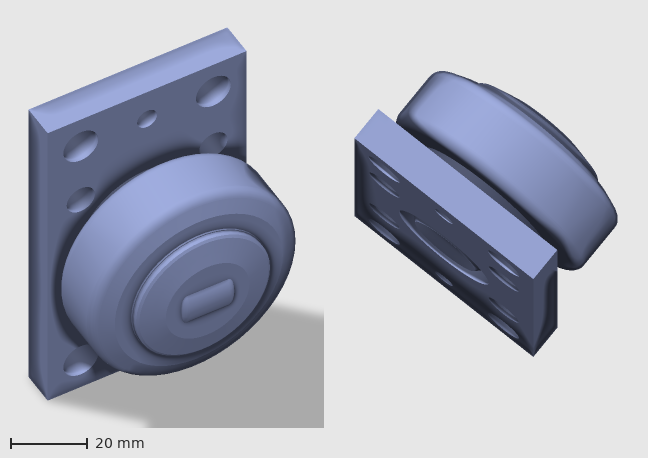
import cadquery as cq
import math

plate_thickness = 10.0
plate_width = 60.0
plate_height = 100.0

hole_offset_y = 20.0
outer_hole_z = 40.0
inner_hole_z = 20.0
bolt_hole_diameter = 10.5
pin_hole_diameter = 6.0
tapped_hole_diameter = 8.5
tapped_hole_mouth_diameter = 10.2

recess_radius = 15.0
recess_depth = 5.0
stud_radius = 13.0
stud_chamfer = 3.0
stud_setback = 0.4

hub_radius = 21.0
hub_end_x = 16.3
neck_radius = 20.5

wheel_start_x = 17.0
wheel_end_x = 37.0
wheel_diameter = 62.5
wheel_radius = wheel_diameter / 2
wheel_edge_radius = 3.0
wheel_rim_end_x = 32.6
wheel_cone_angle = math.radians(22)

cap_step_x = 37.5
cap_radius = 20.2
cap_rim_end_x = 39.2
cap_cone_start_x = 39.7
cap_cone_start_radius = 19.5
cap_end_x = 41.6
cap_face_radius = 12.6

total_length = 43.0
roller_radius = 9.3
roller_half_length = 8.1
roller_edge_radius = 2.0


def x_cylinder(diameter, start_x, length, y=0.0, z=0.0):
    """Cylinder along +X from start_x."""
    return (cq.Workplane("YZ", origin=(start_x, y, z))
            .circle(diameter / 2).extrude(length))


def make_plate():
    plate = cq.Workplane("XY").box(plate_thickness, plate_width, plate_height,
                                   centered=(False, True, True))
    mouth_depth = (tapped_hole_mouth_diameter - tapped_hole_diameter) / 2
    for z_side in (-1, 1):
        outer_z = z_side * outer_hole_z
        inner_z = z_side * inner_hole_z
        plate = plate.cut(x_cylinder(pin_hole_diameter, 0, plate_thickness, z=outer_z))
        for y_side in (-1, 1):
            y = y_side * hole_offset_y
            plate = plate.cut(x_cylinder(bolt_hole_diameter, 0, plate_thickness, y, outer_z))
            plate = plate.cut(x_cylinder(tapped_hole_diameter, 0, plate_thickness, y, inner_z))
            mouth = cq.Solid.makeCone(tapped_hole_mouth_diameter / 2, tapped_hole_diameter / 2, mouth_depth,
                                      cq.Vector(0, y, inner_z), cq.Vector(1, 0, 0))
            plate = plate.cut(cq.Workplane(mouth))
    return plate.cut(x_cylinder(2 * recess_radius, 0, recess_depth))


def make_stud_end():
    stud = x_cylinder(2 * stud_radius, stud_setback, recess_depth - stud_setback)
    return stud.faces("<X").chamfer(stud_chamfer)


def make_wheel_and_cap():
    """Body of revolution about X; profile points are (x, radius)."""
    edge_center_radius = wheel_radius - wheel_edge_radius
    back_center_x = wheel_start_x + wheel_edge_radius
    diagonal = wheel_edge_radius * math.sqrt(0.5)

    def front_edge_point(angle):
        return (wheel_rim_end_x + wheel_edge_radius * math.cos(angle),
                edge_center_radius + wheel_edge_radius * math.sin(angle))

    cone_start = front_edge_point(wheel_cone_angle)
    arc_middle = front_edge_point((wheel_cone_angle + math.pi / 2) / 2)
    cone_end_radius = cone_start[1] - (wheel_end_x - cone_start[0]) / math.tan(wheel_cone_angle)

    profile = (
        cq.Workplane("XY")
        .moveTo(plate_thickness, 0)
        .lineTo(plate_thickness, hub_radius)
        .lineTo(hub_end_x, hub_radius)
        .lineTo(hub_end_x, neck_radius)
        .lineTo(wheel_start_x, neck_radius)
        .lineTo(wheel_start_x, edge_center_radius)
        .threePointArc((back_center_x - diagonal, edge_center_radius + diagonal),
                       (back_center_x, wheel_radius))
        .lineTo(wheel_rim_end_x, wheel_radius)
        .threePointArc(arc_middle, cone_start)
        .lineTo(wheel_end_x, cone_end_radius)
        .lineTo(wheel_end_x, neck_radius)
        .lineTo(cap_step_x, neck_radius)
        .lineTo(cap_step_x, cap_radius)
        .lineTo(cap_rim_end_x, cap_radius)
        .lineTo(cap_cone_start_x, cap_cone_start_radius)
        .lineTo(cap_end_x, cap_face_radius)
        .lineTo(cap_end_x, 0)
        .close()
    )
    return profile.revolve(360, (0, 0, 0), (1, 0, 0))


def make_side_roller():
    axis_x = total_length - roller_radius
    return (cq.Workplane("XZ", origin=(axis_x, 0, 0))
            .circle(roller_radius)
            .extrude(roller_half_length, both=True)
            .edges("%CIRCLE").fillet(roller_edge_radius))


result = (
    make_plate()
    .union(make_stud_end())
    .union(make_wheel_and_cap())
    .union(make_side_roller())
)